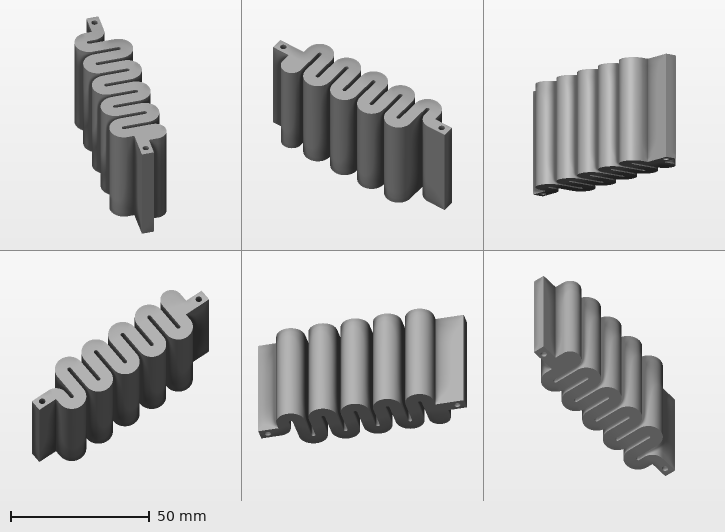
import cadquery as cq

length = 76.5
depth = 20.0
height = 38.25

wall = 4.5
tab_half = wall / 2
left_tab_length = 7.5
right_tab_front_length = 10.5
hole_diameter = 2.3
hole_end_distance = 3.0

front_bends = 5
serpentine_length = length - left_tab_length - right_tab_front_length
pitch = (serpentine_length - wall) / (front_bends - 0.5)
slot_radius = (pitch / 2 - wall) / 2
bend_radius = slot_radius + wall
bend_y = depth / 2 - bend_radius

lobe_width = 8.0
lobe_top = 9.8
lobe_radius = lobe_width / 2

left_end = -length / 2
right_end = length / 2
first_bend_x = left_end + left_tab_length + bend_radius
last_bend_x = first_bend_x + (front_bends - 1) * pitch
lobe_left = last_bend_x + slot_radius
lobe_right = lobe_left + lobe_width
lobe_center_y = lobe_top - lobe_radius


def half_turn(path, center_x, base_y, radius, rise, direction):
    """Draw a half circle from the current side of center_x to the other side.

    rise is +1 for an arc bulging to +Y and -1 for one bulging to -Y.
    direction is +1 for travel toward +X and -1 for travel toward -X.
    """
    apex = (center_x, base_y + rise * radius)
    end = (center_x + direction * radius, base_y)
    return path.threePointArc(apex, end)


def serpentine_outline():
    corner_x = left_end + left_tab_length
    path = cq.Workplane("XY").moveTo(left_end, tab_half)
    path = path.lineTo(left_end, -tab_half).lineTo(corner_x, -tab_half)
    path = path.lineTo(corner_x, -bend_y)

    for i in range(front_bends):
        center_x = first_bend_x + i * pitch
        path = half_turn(path, center_x, -bend_y, bend_radius, -1, 1)
        if i < front_bends - 1:
            path = path.lineTo(center_x + bend_radius, bend_y)
            path = half_turn(path, center_x + pitch / 2, bend_y, slot_radius, 1, 1)
            path = path.lineTo(center_x + pitch - bend_radius, -bend_y)

    path = path.lineTo(last_bend_x + bend_radius, -tab_half)
    path = path.lineTo(right_end, -tab_half).lineTo(right_end, tab_half)
    path = path.lineTo(lobe_right, tab_half).lineTo(lobe_right, lobe_center_y)
    path = half_turn(path, lobe_right - lobe_radius, lobe_center_y, lobe_radius, 1, -1)
    path = path.lineTo(lobe_left, -bend_y)

    for i in reversed(range(front_bends)):
        center_x = first_bend_x + i * pitch
        path = half_turn(path, center_x, -bend_y, slot_radius, -1, -1)
        if i > 0:
            path = path.lineTo(center_x - slot_radius, bend_y)
            path = half_turn(path, center_x - pitch / 2, bend_y, bend_radius, 1, -1)
            path = path.lineTo(center_x - pitch + slot_radius, -bend_y)

    path = path.lineTo(corner_x + wall, -tab_half)
    path = path.radiusArc((corner_x, tab_half), -wall)
    return path.close()


def tab_holes():
    hole_x = right_end - hole_end_distance
    centers = [(-hole_x, 0), (hole_x, 0)]
    return cq.Workplane("XY").pushPoints(centers).circle(hole_diameter / 2).extrude(height)


result = serpentine_outline().extrude(height).cut(tab_holes())